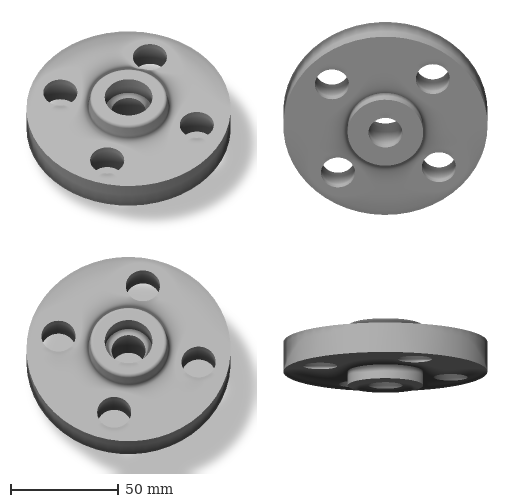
import cadquery as cq
import math

flange_diameter = 95.2
flange_thickness = 14.0

spigot_diameter = 35.2
spigot_height = 6.6

hub_height = 8.1
hub_base_diameter = 38.3
hub_taper_angle = 10.0
hub_fillet_radius = 1.5

bore_diameter = 15.8
socket_diameter = 22.3
socket_depth = 9.6

bolt_hole_count = 4
bolt_hole_diameter = 15.9
bolt_circle_diameter = 66.7

total_height = spigot_height + flange_thickness + hub_height
bottom_z = -total_height / 2
flange_bottom_z = bottom_z + spigot_height
flange_top_z = flange_bottom_z + flange_thickness
hub_top_z = flange_top_z + hub_height


def cylinder(diameter, base_z, height):
    """Upright cylinder on the Z axis."""
    return cq.Workplane("XY", origin=(0, 0, base_z)).circle(diameter / 2).extrude(height)


def flange_with_hub():
    """Flange disc and tapered hub, with the hub's top edge and root rounded."""
    hub_base_radius = hub_base_diameter / 2
    hub_top_radius = hub_base_radius - hub_height * math.tan(math.radians(hub_taper_angle))
    body = (
        cq.Workplane("XZ")
        .moveTo(0, flange_bottom_z)
        .lineTo(flange_diameter / 2, flange_bottom_z)
        .lineTo(flange_diameter / 2, flange_top_z)
        .lineTo(hub_base_radius, flange_top_z)
        .lineTo(hub_top_radius, hub_top_z)
        .lineTo(0, hub_top_z)
        .close()
        .revolve(360, (0, 0, 0), (0, 1, 0))
    )
    return body.faces("%CONE").edges().fillet(hub_fillet_radius)


def bolt_holes():
    """Through holes evenly spaced on the bolt circle."""
    return (
        cq.Workplane("XY", origin=(0, 0, flange_bottom_z))
        .polarArray(bolt_circle_diameter / 2, 0, 360, bolt_hole_count)
        .circle(bolt_hole_diameter / 2)
        .extrude(flange_thickness)
    )


spigot = cylinder(spigot_diameter, bottom_z, spigot_height)
bore = cylinder(bore_diameter, bottom_z, total_height)
socket = cylinder(socket_diameter, hub_top_z - socket_depth, socket_depth)

result = flange_with_hub().union(spigot).cut(bore).cut(socket).cut(bolt_holes())